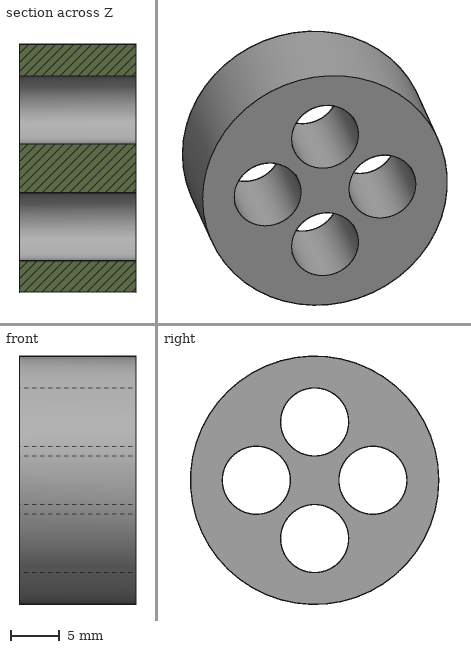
import cadquery as cq

disc_diameter = 25.6
disc_thickness = 12.0

hole_count = 4
hole_diameter = 7.0
hole_circle_diameter = 12.0

disc = cq.Workplane("YZ").circle(disc_diameter / 2).extrude(disc_thickness)

holes = (
    cq.Workplane("YZ")
    .polarArray(hole_circle_diameter / 2, 0, 360, hole_count)
    .circle(hole_diameter / 2)
    .extrude(disc_thickness)
)

result = disc.cut(holes)